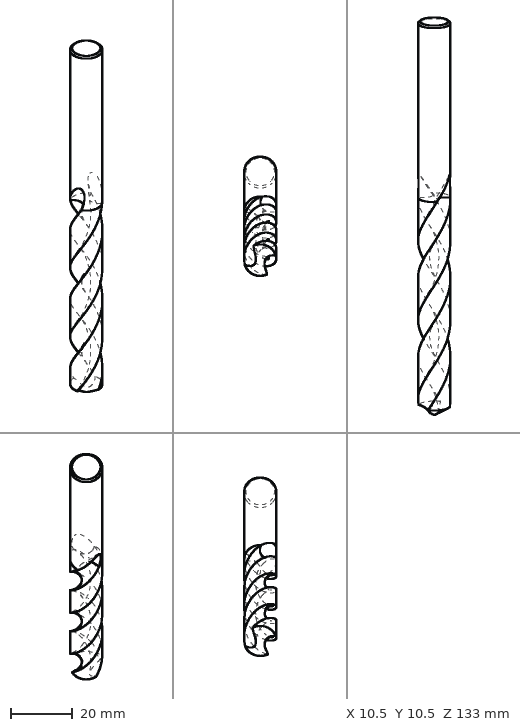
import cadquery as cq
import math

LENGTH = 133.0
DIAMETER = 10.5
POINT_ANGLE = 118.0
SHANK_START = 73.5
SHANK_CHAMFER = 0.7

FLUTE_COUNT = 2
HELIX_PITCH = 53.6
FLUTE_ANGLE = 81.0
LIP_INNER_RADIUS = 3.6
WEB_RADIUS = 1.5
RUNOUT_SIDE = 5.0
RUNOUT_OUTWARD = 2.4
RUNOUT_HEIGHT = 8.4

RADIUS = DIAMETER / 2
MOUTH_RADIUS = 2 * RADIUS
POINT_HEIGHT = RADIUS / math.tan(math.radians(POINT_ANGLE / 2))
TWIST = 360.0 * SHANK_START / HELIX_PITCH
FLUTE_SPACING = 360.0 / FLUTE_COUNT
HALF_FLUTE = FLUTE_ANGLE / 2
FIRST_FLUTE = -90.0


def polar(radius, angle):
    """Point at a radius and an angle in degrees from +X."""
    return radius * math.cos(math.radians(angle)), radius * math.sin(math.radians(angle))


def add_flute(outline, flute):
    """Continue an outline through a flute: radial trailing edge, curved floor and radial lip."""
    trailing_angle = flute - HALF_FLUTE
    lip_angle = flute + HALF_FLUTE
    outline = outline.lineTo(*polar(RADIUS, trailing_angle))
    outline = outline.threePointArc(polar(WEB_RADIUS, flute), polar(LIP_INNER_RADIUS, lip_angle))
    return outline.lineTo(*polar(MOUTH_RADIUS, lip_angle))


def make_cutter():
    """Round rod with a conical point, intersected with a wide twisted bar that has the flutes."""
    rod = (
        cq.Workplane("XZ")
        .polyline([(0, 0), (RADIUS, POINT_HEIGHT), (RADIUS, SHANK_START), (0, SHANK_START)])
        .close()
        .revolve(360, (0, 0, 0), (0, 1, 0))
    )
    section = cq.Workplane("XY").moveTo(*polar(MOUTH_RADIUS, FIRST_FLUTE - HALF_FLUTE))
    for i in range(FLUTE_COUNT):
        flute = FIRST_FLUTE + i * FLUTE_SPACING
        if i > 0:
            section = section.lineTo(*polar(MOUTH_RADIUS, flute - HALF_FLUTE))
        section = add_flute(section, flute)
    bar = section.close().twistExtrude(SHANK_START, TWIST)
    bar = bar.rotate((0, 0, 0), (0, 0, 1), -TWIST)
    return rod.intersect(bar)


def make_runout():
    """Slanted cutting volume that carries the first flute out through the shank surface."""
    outline = cq.Workplane("XY", origin=(0, 0, SHANK_START))
    outline = outline.moveTo(*polar(MOUTH_RADIUS, FIRST_FLUTE - HALF_FLUTE))
    face = cq.Face.makeFromWires(add_flute(outline, FIRST_FLUTE).close().val())
    direction = cq.Vector(RUNOUT_SIDE, -RUNOUT_OUTWARD, RUNOUT_HEIGHT)
    return cq.Workplane(cq.Solid.extrudeLinear(face, direction * 2))


def make_shank():
    """Plain cylinder with a chamfered top and the flute run-outs at its lower end."""
    shank = cq.Workplane("XY", origin=(0, 0, SHANK_START)).circle(RADIUS).extrude(LENGTH - SHANK_START)
    shank = shank.faces(">Z").chamfer(SHANK_CHAMFER)
    runout = make_runout()
    for i in range(FLUTE_COUNT):
        shank = shank.cut(runout.rotate((0, 0, 0), (0, 0, 1), i * FLUTE_SPACING))
    return shank


cutter = make_cutter()
shank = make_shank()
result = cq.Compound.makeCompound([*cutter.solids().vals(), *shank.solids().vals()])